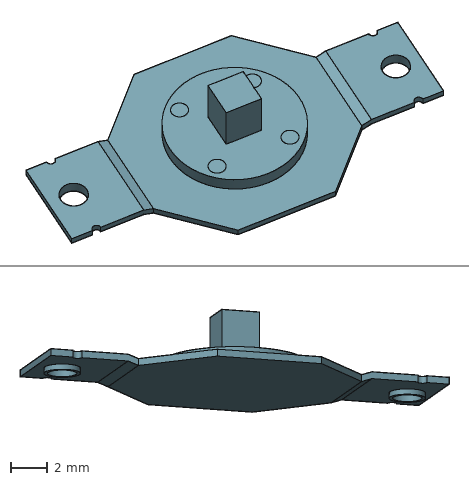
import cadquery as cq

overall_length = 23.0
plate_width = 12.5
plate_side_length = 6.03
octagon_length = 12.88
sheet_thickness = 0.4
tab_width = 5.5
tab_rise = 0.2
bend_run = 0.6

hole_spacing = 19.92
hole_diameter = 1.6
collar_diameter = 2.0
collar_height = 0.3
notch_radius = 0.25

disc_diameter = 8.0
disc_height = 0.8
post_width = 2.18
post_height = 2.71
pin_diameter = 1.0
pin_spacing = 4.5

disc_top = sheet_thickness + disc_height


def make_octagon():
    half_width = plate_width / 2
    half_side = plate_side_length / 2
    half_tab = tab_width / 2
    half_length = octagon_length / 2
    outline = [
        (half_width, -half_side),
        (half_width, half_side),
        (half_tab, half_length),
        (-half_tab, half_length),
        (-half_width, half_side),
        (-half_width, -half_side),
        (-half_tab, -half_length),
        (half_tab, -half_length),
    ]
    return cq.Workplane("XY").polyline(outline).close().extrude(sheet_thickness)


def make_tab():
    """Tab at the +Y end, with its bend, collar, hole and edge notches."""
    bend_start = octagon_length / 2
    bend_end = bend_start + bend_run
    tip = overall_length / 2
    profile = [
        (bend_start, 0),
        (bend_end, tab_rise),
        (tip, tab_rise),
        (tip, tab_rise + sheet_thickness),
        (bend_end, tab_rise + sheet_thickness),
        (bend_start, sheet_thickness),
    ]
    tab = cq.Workplane("YZ").polyline(profile).close().extrude(tab_width / 2, both=True)

    hole_y = hole_spacing / 2
    collar_bottom = cq.Workplane("XY", origin=(0, 0, tab_rise - collar_height))
    collar = collar_bottom.center(0, hole_y).circle(collar_diameter / 2).extrude(collar_height)
    cut_height = collar_height + sheet_thickness
    hole = collar_bottom.center(0, hole_y).circle(hole_diameter / 2).extrude(cut_height)
    notch_centers = [(-tab_width / 2, hole_y), (tab_width / 2, hole_y)]
    notches = collar_bottom.pushPoints(notch_centers).circle(notch_radius).extrude(cut_height)
    return tab.union(collar).cut(hole).cut(notches)


def make_plate():
    tab = make_tab()
    return make_octagon().union(tab).union(tab.mirror("XZ"))


def make_pin(x, y):
    """Pin through the full height of the disc, flush with its top."""
    base = cq.Workplane("XY", origin=(x, y, sheet_thickness))
    return base.circle(pin_diameter / 2).extrude(disc_height)


def make_disc(pins):
    """Disc resting on the plate, with one hole for each pin."""
    disc = cq.Workplane("XY", origin=(0, 0, sheet_thickness))
    disc = disc.circle(disc_diameter / 2).extrude(disc_height)
    for pin in pins:
        disc = disc.cut(pin)
    return disc


def make_post():
    """Square post standing on the disc."""
    base = cq.Workplane("XY", origin=(0, 0, disc_top))
    return base.rect(post_width, post_width).extrude(post_height)


pins = []
for x in (-pin_spacing / 2, pin_spacing / 2):
    for y in (-pin_spacing / 2, pin_spacing / 2):
        pins.append(make_pin(x, y))

plate = make_plate()
disc = make_disc(pins)
post = make_post()

result = cq.Compound.makeCompound(
    [plate.val(), disc.val(), post.val(), *[pin.val() for pin in pins]]
)